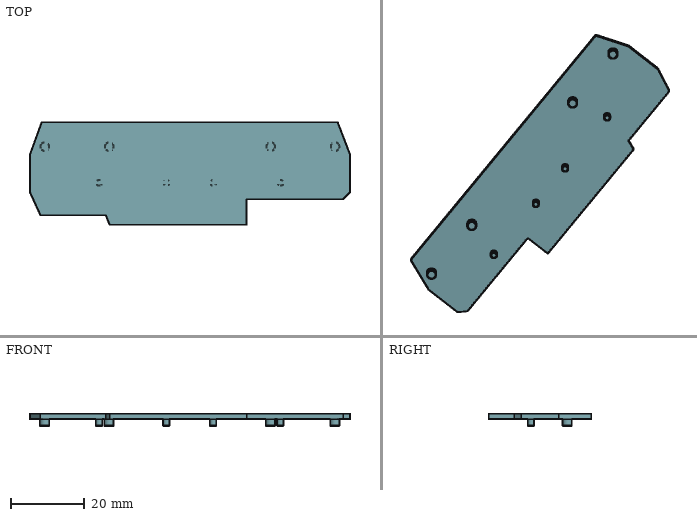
import cadquery as cq

length = 87.2
width = 28.0
plate_thickness = 1.5
total_height = 3.5
pin_length = total_height - plate_thickness

corner_left_x = 3.2
corner_right_x = 83.8
corner_depth = 8.9
lower_corner_y = -19.1
left_shoulder_y = -25.4
right_shoulder_y = -21.0
left_shoulder_x = 2.9
right_chamfer = right_shoulder_y - lower_corner_y
tab_left_x = 21.7
tab_right_x = 59.0
tab_slant = 1.05

pin_centre_x = (corner_left_x + corner_right_x) / 2
thick_pin_offsets = (39.5, 22.0)
thick_pin_row_y = -6.6
thick_pin_diameter = 2.6
thin_pin_offsets = (24.7, 6.4)
thin_pin_row_y = -16.5
thin_pin_diameter = 1.8
tip_chamfer = 0.3


def row_points(offsets, row_y):
    """Mirrored pin centres along one row."""
    return [(pin_centre_x + side * offset, row_y) for offset in offsets for side in (-1, 1)]


def make_plate():
    outline = [
        (corner_left_x, 0),
        (corner_right_x, 0),
        (length, -corner_depth),
        (length, lower_corner_y),
        (length + right_chamfer, right_shoulder_y),
        (tab_right_x, right_shoulder_y),
        (tab_right_x, -width),
        (tab_left_x, -width),
        (tab_left_x - tab_slant, left_shoulder_y),
        (left_shoulder_x, left_shoulder_y),
        (0, lower_corner_y),
        (0, -corner_depth),
    ]
    return cq.Workplane("XY").polyline(outline).close().extrude(plate_thickness)


def make_pin(diameter):
    """Pin hanging below the origin, with a chamfered tip."""
    pin = cq.Workplane("XY").circle(diameter / 2).extrude(-pin_length)
    return pin.faces("<Z").chamfer(tip_chamfer)


result = make_plate()
for pin, offsets, row_y in (
    (make_pin(thick_pin_diameter), thick_pin_offsets, thick_pin_row_y),
    (make_pin(thin_pin_diameter), thin_pin_offsets, thin_pin_row_y),
):
    for x, y in row_points(offsets, row_y):
        result = result.union(pin.translate((x, y, 0)))